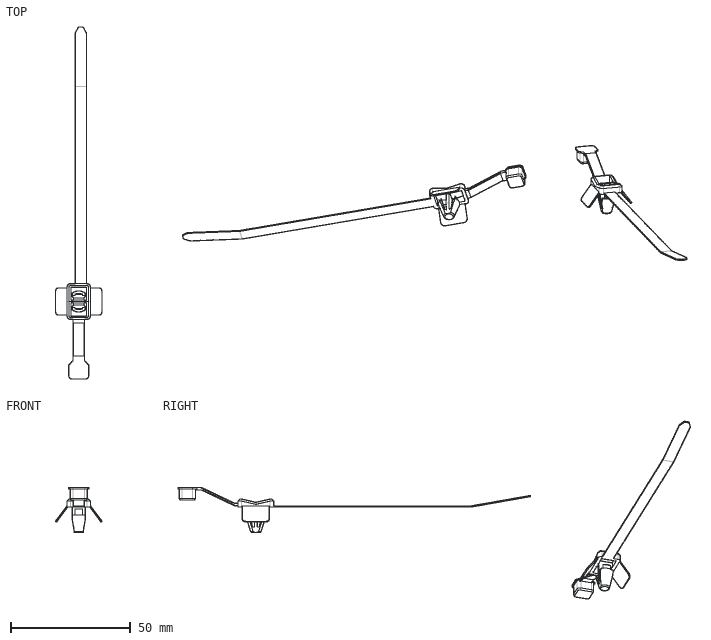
import cadquery as cq
import math


frame_width = 9.9
frame_length = 15.0
frame_height = 3.45
frame_corner_radius = 1.5
frame_chamfer_inward = 0.85
frame_chamfer_down = 0.9
opening_width = 6.4
opening_front = -6.15
opening_back = 5.85
saddle_half_length = 6.0
saddle_depth = 1.35

anchor_bottom = -10.67
anchor_width = 5.5
anchor_top_radius = 4.45
anchor_bottom_radius = 2.25
anchor_tip_width = 3.7
anchor_taper_start = -5.2
anchor_tip_chamfer = 0.5
barb_top = -3.25
slot_bottom = -8.2
slot_top_half = 2.45
slot_bottom_half = 1.4
web_thickness = 1.2
bridge_width = 7.0
nub_width = 3.2
nub_outer_radius = 3.4
nub_top = -0.8

flap_length = 11.4
flap_thickness = 0.6
flap_corner_radius = 1.7
flap_root_x = 4.95
flap_root_z = 0.6
flap_tip_x = 9.78
flap_tip_z = -5.9

strap_width = 4.8
strap_thickness = 0.55
strap_offset = 0.85
strap_bend_y = 89.8
strap_tip_y = 114.8
strap_bend_angle = 10.0
strap_tip_width = 2.0
strap_tip_taper = 2.6
strap_root_gap = 0.5

head_end_y = -32.5
head_top = 8.3
arm_width = 4.9
arm_thickness = 1.15
arm_edge_chamfer = 0.25
arm_root_y = -7.0
arm_root_top = 1.7
arm_lower_bend_y = -8.9
arm_upper_bend_y = -22.7
flange_width = 8.4
flange_thickness = 0.6
flange_corner_radius = 1.5
flare_start_y = -24.7
flare_end_y = -26.5
neck_overlap = 0.5
body_width = 7.3
body_front_y = -25.2
body_back_y = -32.1
body_bottom = 2.95
body_corner_radius = 1.3
body_chamfer_up = 0.8
body_chamfer_inward = 0.4


def side_prism(points, width):
    """Extrude a closed (y, z) outline symmetrically about X = 0."""
    return cq.Workplane("YZ").polyline(points).close().extrude(width / 2, both=True)


def box_between(width, front, back, bottom, top):
    """A box centred on X = 0 with the given limits in Y and Z."""
    return (
        cq.Workplane("XY", origin=(0, (front + back) / 2, bottom))
        .rect(width, back - front)
        .extrude(top - bottom)
    )


def build_saddle_cut():
    """V-shaped space above the frame that forms its saddle."""
    points = [
        (-saddle_half_length, frame_height),
        (0, frame_height - saddle_depth),
        (saddle_half_length, frame_height),
    ]
    return side_prism(points, frame_width)


def build_bevel(side, end):
    """Wedge removed along one sloping half of the saddle, at the outer edge of one long side."""
    outer_x = side * frame_width / 2
    inner_x = side * (frame_width / 2 - frame_chamfer_inward)

    def section(y, top):
        corners = [
            cq.Vector(outer_x, y, top - frame_chamfer_down),
            cq.Vector(inner_x, y, top),
            cq.Vector(outer_x, y, top),
        ]
        return cq.Wire.makePolygon(corners, close=True)

    high = section(end * saddle_half_length, frame_height)
    low = section(0, frame_height - saddle_depth)
    return cq.Workplane(cq.Solid.makeLoft([high, low], True))


def build_frame():
    frame = box_between(frame_width, -frame_length / 2, frame_length / 2, 0, frame_height)
    frame = frame.edges("|Z").fillet(frame_corner_radius)
    frame = frame.faces(">Z").chamfer(frame_chamfer_down, frame_chamfer_inward)
    frame = frame.cut(build_saddle_cut())
    for side in (1, -1):
        for end in (1, -1):
            frame = frame.cut(build_bevel(side, end))
    opening = box_between(opening_width, opening_front, opening_back, 0, frame_height)
    return frame.cut(opening)


def build_anchor():
    outline = [
        (0, anchor_bottom),
        (anchor_bottom_radius - anchor_tip_chamfer, anchor_bottom),
        (anchor_bottom_radius, anchor_bottom + anchor_tip_chamfer),
        (anchor_top_radius, barb_top),
        (nub_outer_radius, barb_top),
        (nub_outer_radius, nub_top),
        (0, nub_top),
    ]
    anchor = cq.Workplane("XZ").polyline(outline).close().revolve(360, (0, 0), (0, 1))
    barbs = box_between(anchor_width, -frame_length, frame_length, anchor_bottom, barb_top)
    nubs = box_between(nub_width, -frame_length, frame_length, barb_top, nub_top)
    anchor = anchor.intersect(barbs.union(nubs))
    slope = (slot_top_half - slot_bottom_half) / (barb_top - slot_bottom)
    slot_open_half = slot_top_half + slope * (nub_top - barb_top)
    slot = [
        (-slot_bottom_half, slot_bottom),
        (slot_bottom_half, slot_bottom),
        (slot_open_half, nub_top),
        (-slot_open_half, nub_top),
    ]
    anchor = anchor.cut(side_prism(slot, frame_width)).union(build_web())
    return anchor.intersect(build_anchor_taper())


def build_anchor_taper():
    """Envelope that narrows the anchor in X from its barbs down to its tip."""
    half = anchor_width / 2
    tip_half = anchor_tip_width / 2
    points = [
        (-tip_half, anchor_bottom),
        (tip_half, anchor_bottom),
        (half, anchor_taper_start),
        (half, 0),
        (-half, 0),
        (-half, anchor_taper_start),
    ]
    return cq.Workplane("XZ").polyline(points).close().extrude(frame_length / 2, both=True)


def build_web():
    """Central plate that hangs the anchor from the bridge."""
    half = web_thickness / 2
    return box_between(anchor_width, -half, half, slot_bottom - half, 0)


def build_bridge():
    """Crossbar over the frame opening, level with the saddle."""
    half = web_thickness / 2
    bridge = box_between(bridge_width, -half, half, 0, frame_height)
    return bridge.cut(build_saddle_cut())


def build_flap():
    """Spring flap sloping outwards and down on the +X side."""
    run = flap_tip_x - flap_root_x
    drop = flap_root_z - flap_tip_z
    splay_angle = math.degrees(math.atan2(run, drop))
    flap = (
        cq.Workplane("XY")
        .box(flap_thickness, flap_length, math.hypot(run, drop), centered=(False, True, False))
        .translate((-flap_thickness, 0, -math.hypot(run, drop)))
        .edges("|X and <Z")
        .fillet(flap_corner_radius)
    )
    flap = flap.rotate((0, 0, 0), (0, 1, 0), -splay_angle)
    return flap.translate((flap_root_x, 0, flap_root_z))


def build_strap():
    rise = (strap_tip_y - strap_bend_y) * math.tan(math.radians(strap_bend_angle))
    start_y = opening_back + strap_root_gap
    profile = [
        (start_y, 0),
        (strap_bend_y, 0),
        (strap_tip_y, rise),
        (strap_tip_y, rise + strap_thickness),
        (strap_bend_y, strap_thickness),
        (start_y, strap_thickness),
    ]
    half = strap_width / 2
    tip_half = strap_tip_width / 2
    taper_y = strap_tip_y - strap_tip_taper
    outline = [
        (-half, start_y),
        (half, start_y),
        (half, taper_y),
        (tip_half, strap_tip_y),
        (-tip_half, strap_tip_y),
        (-half, taper_y),
    ]
    plan = cq.Workplane("XY").polyline(outline).close().extrude(2 * rise)
    return side_prism(profile, strap_width).intersect(plan).translate((strap_offset, 0, 0))


def build_arm():
    root_bottom = arm_root_top - arm_thickness
    neck_bottom = head_top - arm_thickness
    profile = [
        (arm_root_y, root_bottom),
        (arm_lower_bend_y, root_bottom),
        (arm_upper_bend_y, neck_bottom),
        (body_front_y, neck_bottom),
        (body_front_y, head_top),
        (arm_upper_bend_y, head_top),
        (arm_lower_bend_y, arm_root_top),
        (arm_root_y, arm_root_top),
    ]
    arm = side_prism(profile, arm_width)
    sloped_length = cq.selectors.BoxSelector(
        (-arm_width, arm_upper_bend_y, root_bottom),
        (arm_width, arm_lower_bend_y, head_top),
    )
    return arm.edges("not |X").edges(sloped_length).chamfer(arm_edge_chamfer)


def build_head():
    half = flange_width / 2
    neck_half = arm_width / 2
    outline = [
        (-neck_half, arm_upper_bend_y - neck_overlap),
        (neck_half, arm_upper_bend_y - neck_overlap),
        (neck_half, flare_start_y),
        (half, flare_end_y),
        (half, head_end_y),
        (-half, head_end_y),
        (-half, flare_end_y),
        (-neck_half, flare_start_y),
    ]
    flange = (
        cq.Workplane("XY", origin=(0, 0, head_top - flange_thickness))
        .polyline(outline)
        .close()
        .extrude(flange_thickness)
        .edges("|Z and <Y")
        .fillet(flange_corner_radius)
    )
    body = (
        box_between(body_width, body_back_y, body_front_y, body_bottom, head_top)
        .edges("|Z")
        .fillet(body_corner_radius)
        .faces("<Z")
        .chamfer(body_chamfer_up, body_chamfer_inward)
    )
    return flange.union(body)


flap = build_flap()
pieces = [
    build_bridge(),
    build_anchor(),
    flap,
    flap.mirror("YZ"),
    build_strap(),
    build_arm(),
    build_head(),
]

result = build_frame()
for piece in pieces:
    result = result.union(piece)